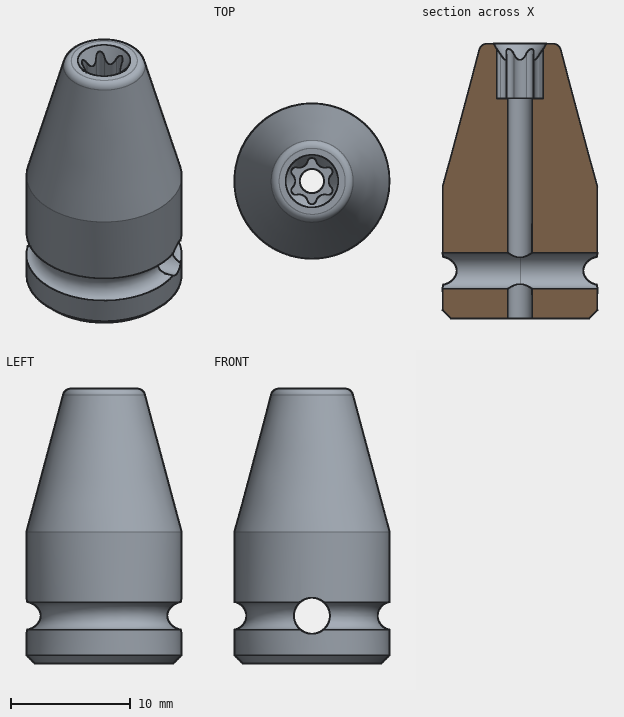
import cadquery as cq
import math

height = 23.0
body_radius = 13.0 / 2
cone_base_z = 11.05
cone_half_angle = math.radians(15)
nose_fillet = 0.7
base_chamfer = 0.71

groove_z = 4.0
groove_width = 2.3
groove_depth = 1.0
pin_hole_diameter = 3.0

bore_diameter = 2.0
socket_depth = 4.6
lobe_count = 6
lobe_tip_radius = 1.93
lobe_valley_radius = 1.4
tip_round = 0.37
countersink_diameter = 4.4
countersink_half_angle = math.radians(30)


def polar(radius, angle):
    return (radius * math.cos(angle), radius * math.sin(angle))


def make_body():
    nose_radius = body_radius - (height - cone_base_z) * math.tan(cone_half_angle)
    profile = (
        cq.Workplane("XZ")
        .lineTo(body_radius - base_chamfer, 0)
        .lineTo(body_radius, base_chamfer)
        .lineTo(body_radius, groove_z - groove_width / 2)
        .threePointArc(
            (body_radius - groove_depth, groove_z),
            (body_radius, groove_z + groove_width / 2),
        )
        .lineTo(body_radius, cone_base_z)
        .lineTo(nose_radius, height)
        .lineTo(0, height)
        .close()
    )
    body = profile.revolve(360, (0, 0, 0), (0, 1, 0))
    return body.faces(">Z").edges().fillet(nose_fillet)


def make_socket():
    half_pitch = math.pi / lobe_count
    tip_center = lobe_tip_radius - tip_round
    cosine = math.cos(half_pitch)
    valley_round = (
        tip_center**2 + lobe_valley_radius**2
        - 2 * tip_center * lobe_valley_radius * cosine - tip_round**2
    ) / (2 * (tip_round - lobe_valley_radius + tip_center * cosine))
    valley_center = lobe_valley_radius + valley_round

    share = tip_round / (tip_round + valley_round)
    joint_along = tip_center + share * (valley_center * cosine - tip_center)
    joint_across = share * valley_center * math.sin(half_pitch)
    joint_radius = math.hypot(joint_along, joint_across)
    joint_angle = math.atan2(joint_across, joint_along)

    first_tip = math.pi / 2
    outline = cq.Workplane("XY", origin=(0, 0, height - socket_depth))
    outline = outline.moveTo(*polar(joint_radius, first_tip - joint_angle))
    for lobe in range(lobe_count):
        tip = first_tip + 2 * half_pitch * lobe
        valley = tip + half_pitch
        outline = outline.threePointArc(
            polar(lobe_tip_radius, tip), polar(joint_radius, tip + joint_angle)
        )
        outline = outline.threePointArc(
            polar(lobe_valley_radius, valley),
            polar(joint_radius, valley + half_pitch - joint_angle),
        )
    return outline.close().extrude(socket_depth)


def make_countersink():
    top_radius = countersink_diameter / 2
    bottom_radius = bore_diameter / 2
    depth = (top_radius - bottom_radius) / math.tan(countersink_half_angle)
    cone = cq.Solid.makeCone(
        bottom_radius, top_radius, depth, pnt=cq.Vector(0, 0, height - depth)
    )
    return cq.Workplane(cone)


def make_pin_hole():
    return (
        cq.Workplane("XZ", origin=(0, 0, groove_z))
        .circle(pin_hole_diameter / 2)
        .extrude(body_radius, both=True)
    )


def make_bore():
    return cq.Workplane("XY").circle(bore_diameter / 2).extrude(height)


result = (
    make_body()
    .cut(make_socket())
    .cut(make_countersink())
    .cut(make_bore())
    .cut(make_pin_hole())
)